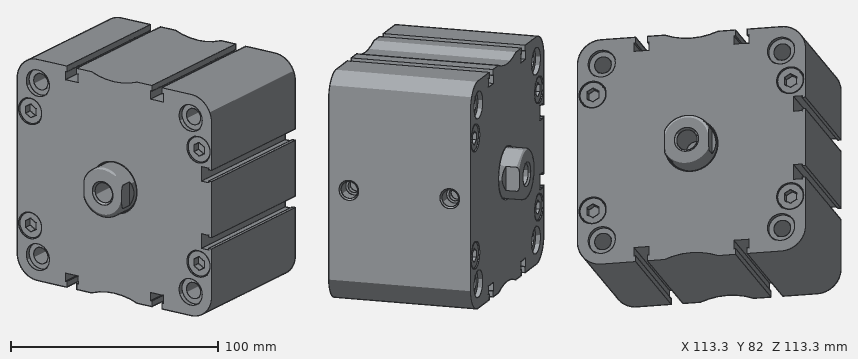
import cadquery as cq
import math


body_size = 113.3
half_size = body_size / 2
overall_length = 82.0
rod_length = 10.0
body_length = overall_length - rod_length
corner_radius = 11.9

hollow_width = 26.5
hollow_depth = 2.5

slot_neck_width = 5.8
slot_head_width = 7.5
slot_head_height = 4.2
slot_depth = 7.1
slot_x = 24.8
side_slot_depth = 5.9
side_slot_z = 17.2

mount_offset = 44.5
mount_hole_diameter = 8.3
mount_counterbore_diameter = 13.5
mount_counterbore_depth = 2.5

screw_x = 49.1
screw_z = 29.2
screw_recess_diameter = 13.5
screw_head_diameter = 12.7
screw_head_sink = 0.6
screw_head_height = 4.5
screw_hex_flats = 6.0
screw_hex_depth = 4.0

rod_diameter = 25.0
rod_tip_radius = 1.6
rod_gap_mouth_diameter = 26.4
rod_gap_diameter = 25.5
rod_gap_depth = 1.1
rod_flats = 22.0
rod_flat_length = 6.9
rod_thread_diameter = 10.1
rod_thread_mouth_diameter = 12.0
rod_thread_depth = 20.4
rod_drill_point_half_angle = math.radians(59)

port_mouth_diameter = 10.0
port_diameter = 8.4
port_depth = 7.9
port_inner_diameter = 6.0
port_inner_depth = 11.3
port_y_places = (10.5, 61.7)


def front_plane(y):
    """Plane at the given Y whose normal points into the body (+Y), with X as its x axis."""
    return cq.Workplane(cq.Plane(origin=(0, y, 0), xDir=(1, 0, 0), normal=(0, 1, 0)))


def corners(x, z):
    """The four points mirrored about the cylinder axis in X and Z."""
    return [(sx * x, sz * z) for sx in (-1, 1) for sz in (-1, 1)]


def t_slot(depth):
    """T-slot opening upward at Z = half_size, centred on X = 0."""
    floor = half_size - depth
    neck = front_plane(0).center(0, -(floor + depth / 2)).rect(slot_neck_width, depth)
    head = front_plane(0).center(0, -(floor + slot_head_height / 2)).rect(slot_head_width, slot_head_height)
    return neck.extrude(body_length).union(head.extrude(body_length))


def hollow():
    """Circular-arc hollow along the top side."""
    radius = ((hollow_width / 2) ** 2 + hollow_depth**2) / (2 * hollow_depth)
    center_z = half_size - hollow_depth + radius
    return front_plane(0).center(0, -center_z).circle(radius).extrude(body_length)


def about_axis(shape, angle):
    """Turn a shape about the cylinder axis; positive angles turn the top towards +X."""
    return shape.rotate((0, 0, 0), (0, 1, 0), angle)


def make_body():
    body = front_plane(0).rect(body_size, body_size).extrude(body_length)
    body = body.edges("|Y").fillet(corner_radius)
    slot = t_slot(slot_depth)
    for turn in (0, 180):
        body = body.cut(about_axis(hollow(), turn))
        for x in (-slot_x, slot_x):
            body = body.cut(about_axis(slot.translate((x, 0, 0)), turn))
    side_slot = about_axis(t_slot(side_slot_depth), 90)
    for z in (-side_slot_z, side_slot_z):
        body = body.cut(side_slot.translate((0, 0, z)))
    return body


def mounting_holes():
    places = front_plane(0).pushPoints(corners(mount_offset, mount_offset))
    counterbores = places.circle(mount_counterbore_diameter / 2).extrude(mount_counterbore_depth)
    return counterbores.union(places.circle(mount_hole_diameter / 2).extrude(body_length))


def screw_clearances():
    """Space above and around the screw heads, and the hexagon sockets in them."""
    places = front_plane(0).pushPoints(corners(screw_x, screw_z))
    head_places = front_plane(screw_head_sink).pushPoints(corners(screw_x, screw_z))
    recesses = places.circle(screw_recess_diameter / 2).extrude(screw_head_sink + screw_head_height)
    heads = head_places.circle(screw_head_diameter / 2).extrude(screw_head_height)
    cutter = recesses.cut(heads)
    hex_across_corners = screw_hex_flats / math.cos(math.pi / 6)
    socket = front_plane(screw_head_sink).polygon(6, hex_across_corners).extrude(screw_hex_depth)
    socket = about_axis(socket, 90)
    for x, z in corners(screw_x, screw_z):
        cutter = cutter.union(socket.translate((x, 0, z)))
    return cutter


def ports():
    """Stepped radial port bores with a countersunk mouth, in the -X side."""
    bevel = (port_mouth_diameter - port_diameter) / 2
    profile = [
        (0, 0),
        (port_mouth_diameter / 2, 0),
        (port_diameter / 2, bevel),
        (port_diameter / 2, port_depth),
        (port_inner_diameter / 2, port_depth),
        (port_inner_diameter / 2, port_inner_depth),
        (0, port_inner_depth),
    ]
    cutter = cq.Workplane()
    for y in port_y_places:
        side = cq.Plane(origin=(-half_size, y, 0), xDir=(0, 1, 0), normal=(0, 0, 1))
        port = cq.Workplane(side).polyline([(r, -depth) for r, depth in profile]).close()
        cutter = cutter.add(port.revolve(360, (0, 0, 0), (0, 1, 0)))
    return cutter.combine()


def rod_gap():
    """Ring gap around the rod, with a bevelled mouth in the front face."""
    bevel = (rod_gap_mouth_diameter - rod_gap_diameter) / 2
    return (
        cq.Workplane("XY")
        .moveTo(rod_diameter / 2, 0)
        .lineTo(rod_gap_mouth_diameter / 2, 0)
        .lineTo(rod_gap_diameter / 2, bevel)
        .lineTo(rod_gap_diameter / 2, rod_gap_depth)
        .lineTo(rod_diameter / 2, rod_gap_depth)
        .close()
        .revolve(360, (0, 0, 0), (0, 1, 0))
    )


def make_rod():
    rod = front_plane(-rod_length).circle(rod_diameter / 2).extrude(rod_length + rod_gap_depth)
    rod = rod.faces("<Y").edges().fillet(rod_tip_radius)
    runout = (rod_diameter - rod_flats) / 2
    tip = -rod_length
    flat_end = tip + rod_flat_length
    for side in (-1, 1):
        flat = (
            cq.Workplane("XY", origin=(0, 0, -rod_diameter / 2))
            .moveTo(side * rod_flats / 2, tip)
            .lineTo(side * rod_flats / 2, flat_end)
            .lineTo(side * (rod_flats / 2 + runout), flat_end + runout)
            .lineTo(side * (rod_flats / 2 + runout), tip)
            .close()
            .extrude(rod_diameter)
        )
        rod = rod.cut(flat)
    return rod


def rod_thread_hole():
    """Blind hole in the rod end with a countersunk mouth and a conical bottom."""
    hole_radius = rod_thread_diameter / 2
    mouth_radius = rod_thread_mouth_diameter / 2
    tip = -rod_length
    bottom = tip + rod_thread_depth
    return (
        cq.Workplane("XY")
        .moveTo(0, tip)
        .lineTo(mouth_radius, tip)
        .lineTo(hole_radius, tip + mouth_radius - hole_radius)
        .lineTo(hole_radius, bottom)
        .lineTo(0, bottom + hole_radius / math.tan(rod_drill_point_half_angle))
        .close()
        .revolve(360, (0, 0, 0), (0, 1, 0))
    )


body = make_body().cut(mounting_holes()).cut(screw_clearances()).cut(ports()).cut(rod_gap())
result = body.union(make_rod()).cut(rod_thread_hole())